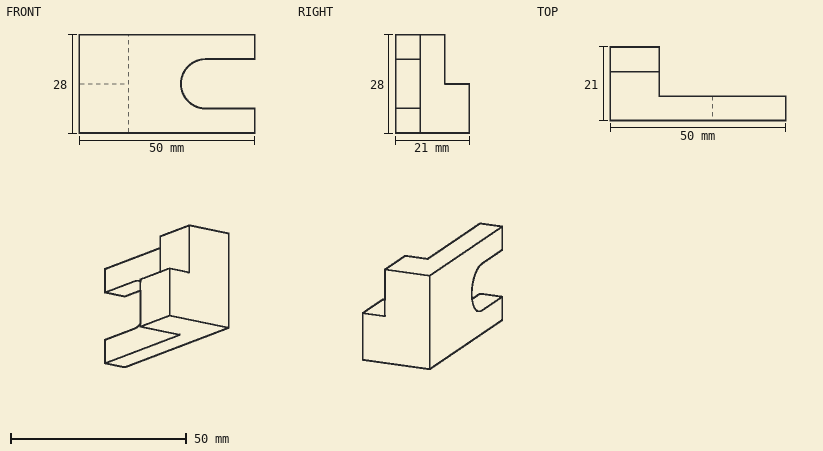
import cadquery as cq

length = 50.0
depth = 21.0
height = 28.0

plate_thickness = 7.0
slot_width = 14.0
slot_straight_length = 14.0

block_length = 14.0
step_depth = 7.0
step_height = 14.0


def corner_box(size_x, size_y, size_z):
    """Box with its lowest corner at the origin."""
    return cq.Workplane("XY").box(size_x, size_y, size_z, centered=False)


def forked_plate():
    """Upright plate with a round-bottomed slot open at the +X end."""
    slot_radius = slot_width / 2
    slot_center_x = length - slot_straight_length
    slot_bottom = (height - slot_width) / 2
    slot_top = slot_bottom + slot_width
    slot = (
        cq.Workplane("XZ")
        .moveTo(length, slot_bottom)
        .lineTo(slot_center_x, slot_bottom)
        .threePointArc((slot_center_x - slot_radius, height / 2), (slot_center_x, slot_top))
        .lineTo(length, slot_top)
        .close()
        .extrude(-plate_thickness)
    )
    return corner_box(length, plate_thickness, height).cut(slot)


def stepped_block():
    """Full-height block with a lower step at the back."""
    tall_part = corner_box(block_length, depth - step_depth, height)
    low_part = corner_box(block_length, depth, step_height)
    return tall_part.union(low_part)


result = forked_plate().union(stepped_block())